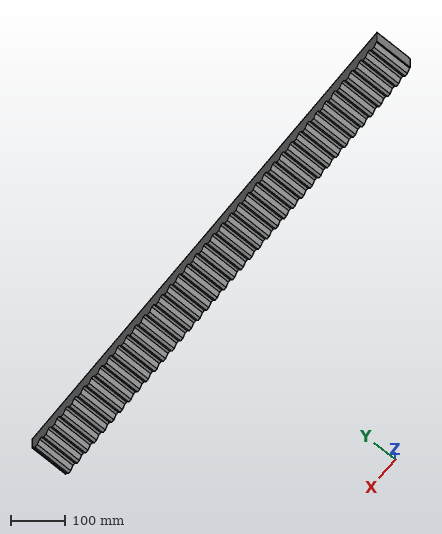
import cadquery as cq
import math

length = 1004.0
width = 79.0
height = 79.0
edge_chamfer = 3.0

tooth_count = 40
end_trim = 1.2
pitch = (length + end_trim) / tooth_count
pressure_angle = math.radians(20)
dedendum_factor = 1.25
module = pitch / math.pi
addendum = module
dedendum = dedendum_factor * module
tooth_depth = addendum + dedendum

half_tip = pitch / 4 - addendum * math.tan(pressure_angle)
half_root = pitch / 4 + dedendum * math.tan(pressure_angle)

first_tooth_x = -(tooth_count - 1) * pitch / 2

tip_z = -height / 2
root_z = tip_z + tooth_depth


def make_bar():
    """Plain bar above the root line, chamfered along its upper front edge."""
    bar_height = height - tooth_depth
    bar = cq.Workplane("XY").box(length, width, bar_height, centered=(True, True, False))
    bar = bar.translate((0, 0, root_z))
    return bar.faces(">Z").edges("<Y").chamfer(edge_chamfer)


def make_teeth():
    """Row of straight-flanked teeth across the full width."""
    teeth = cq.Workplane("XZ", origin=(0, width / 2, 0))
    for index in range(tooth_count):
        x = first_tooth_x + index * pitch
        teeth = teeth.polyline([
            (x - half_root, root_z),
            (x - half_tip, tip_z),
            (x + half_tip, tip_z),
            (x + half_root, root_z),
        ]).close()
    return teeth.extrude(width)


result = make_bar().union(make_teeth())